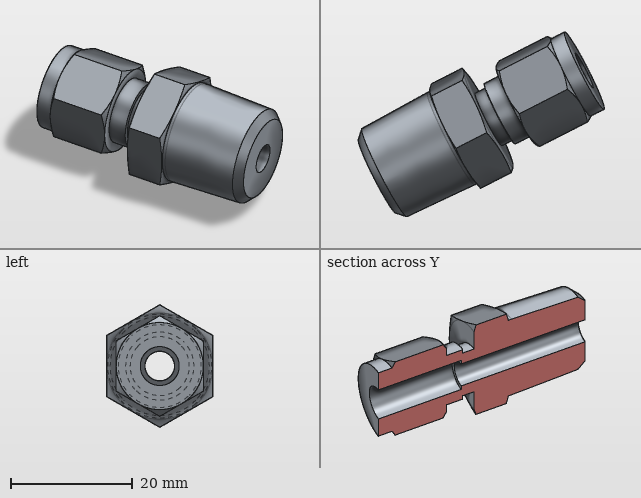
import cadquery as cq
import math


NUT_COLLAR_END = 2.5
NUT_END = 12.65
SHOULDER_END = 15.65
NECK_END = 17.7
BODY_HEX_END = 24.12
THREAD_RELIEF_END = 24.65
LENGTH = 38.35

HEX_SIDES = 6
NUT_ACROSS_FLATS = 14.3
NUT_CHAMFER_ANGLE = 30.0
BODY_ACROSS_FLATS = 17.45
BODY_CHAMFER_ANGLE = 15.0

SHOULDER_DIAMETER = 11.2
NECK_DIAMETER = 9.7
THREAD_DIAMETER = 17.05
THREAD_TAPER = 1 / 16
THREAD_CHAMFER = 1.35

BORE_DIAMETER = 4.85
TUBE_SOCKET_DIAMETER = 6.4
TUBE_SOCKET_DEPTH = 15.35


def cylinder(start, end, diameter):
    """Round bar along X between two stations."""
    return cq.Workplane("YZ", origin=(start, 0, 0)).circle(diameter / 2).extrude(end - start)


def chamfered_hexagon(start, end, across_flats, chamfer_angle):
    """Hexagonal bar along X, its corners turned down to the flats' inscribed circle at both ends."""
    flat_radius = across_flats / 2
    corner_radius = flat_radius / math.cos(math.pi / HEX_SIDES)
    chamfer_length = (corner_radius - flat_radius) * math.tan(math.radians(chamfer_angle))
    hexagon = (
        cq.Workplane("YZ", origin=(start, 0, 0))
        .polygon(HEX_SIDES, 2 * corner_radius)
        .extrude(end - start)
        .rotate((0, 0, 0), (1, 0, 0), 90)
    )
    turned_blank = (
        cq.Workplane("XZ")
        .moveTo(start, 0)
        .lineTo(start, flat_radius)
        .lineTo(start + chamfer_length, corner_radius)
        .lineTo(end - chamfer_length, corner_radius)
        .lineTo(end, flat_radius)
        .lineTo(end, 0)
        .close()
        .revolve(360, (0, 0, 0), (1, 0, 0))
    )
    return hexagon.intersect(turned_blank)


def tapered_thread():
    """Plain cone standing for the pipe thread, chamfered at its free end."""
    chamfer_start = LENGTH - THREAD_CHAMFER
    large_radius = THREAD_DIAMETER / 2
    small_radius = large_radius - (chamfer_start - THREAD_RELIEF_END) * THREAD_TAPER / 2
    return (
        cq.Workplane("XZ")
        .moveTo(THREAD_RELIEF_END, 0)
        .lineTo(THREAD_RELIEF_END, large_radius)
        .lineTo(chamfer_start, small_radius)
        .lineTo(LENGTH, small_radius - THREAD_CHAMFER)
        .lineTo(LENGTH, 0)
        .close()
        .revolve(360, (0, 0, 0), (1, 0, 0))
    )


nut = cylinder(0, NUT_COLLAR_END, NUT_ACROSS_FLATS).union(
    chamfered_hexagon(NUT_COLLAR_END, NUT_END, NUT_ACROSS_FLATS, NUT_CHAMFER_ANGLE)
)

body = (
    cylinder(NUT_END, SHOULDER_END, SHOULDER_DIAMETER)
    .union(cylinder(SHOULDER_END, NECK_END, NECK_DIAMETER))
    .union(chamfered_hexagon(NECK_END, BODY_HEX_END, BODY_ACROSS_FLATS, BODY_CHAMFER_ANGLE))
    .union(cylinder(BODY_HEX_END, THREAD_RELIEF_END, THREAD_DIAMETER))
    .union(tapered_thread())
)

bore = cylinder(0, LENGTH, BORE_DIAMETER)
tube_socket = cylinder(0, TUBE_SOCKET_DEPTH, TUBE_SOCKET_DIAMETER)

result = nut.union(body).cut(bore).cut(tube_socket)